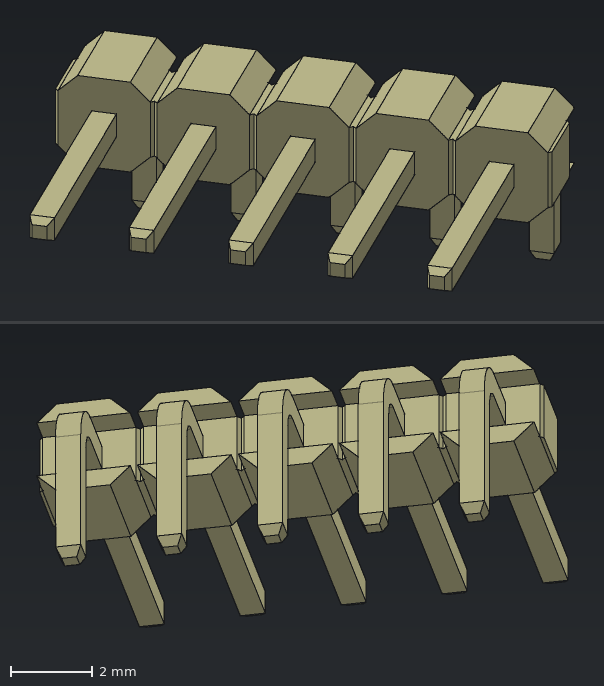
import cadquery as cq

PIN_COUNT = 5
PITCH = 2.54
PIN_XS = [(i - (PIN_COUNT - 1) / 2) * PITCH for i in range(PIN_COUNT)]

BODY_SIZE = 2.5
SEGMENT_WIDTH = 2.36
CORNER_RUN = 0.51
CORE_HEIGHT = 1.52
REAR_SLOT_DEPTH = 0.71
FRONT_Y = -BODY_SIZE / 2
REAR_Y = BODY_SIZE / 2
SLOT_FLOOR_Y = REAR_Y - REAR_SLOT_DEPTH
JOINT_BEVEL = (PITCH - SEGMENT_WIDTH) / 2

PIN_WIDTH = 0.64
TIP_WIDTH = 0.38
TIP_LENGTH = 0.27
MATING_LENGTH = 6.01
REAR_REACH = 1.84
LEG_DROP = 3.04
OUTER_BEND_RADIUS = 1.17
PIN_FRONT_Y = FRONT_Y - MATING_LENGTH
LEG_Y = REAR_Y + REAR_REACH - PIN_WIDTH / 2
LEG_BOTTOM_Z = -BODY_SIZE / 2 - LEG_DROP
BEND_RADIUS = OUTER_BEND_RADIUS - PIN_WIDTH / 2
BEND_START_Y = LEG_Y - BEND_RADIUS


def make_segment(x):
    """Octagonal block around one pin, with its long axis along Y."""
    half_width = SEGMENT_WIDTH / 2
    half_height = BODY_SIZE / 2
    half_top = half_width - CORNER_RUN
    half_side = CORE_HEIGHT / 2
    return (
        cq.Workplane("XZ", origin=(x, REAR_Y, 0))
        .moveTo(half_top, half_height)
        .lineTo(half_width, half_side)
        .lineTo(half_width, -half_side)
        .lineTo(half_top, -half_height)
        .lineTo(-half_top, -half_height)
        .lineTo(-half_width, -half_side)
        .lineTo(-half_width, half_side)
        .lineTo(-half_top, half_height)
        .close()
        .extrude(BODY_SIZE)
    )


def make_core(x):
    """Pitch-wide block with bevelled upright edges that joins a segment to its neighbours."""
    depth = SLOT_FLOOR_Y - FRONT_Y
    return (
        cq.Workplane("XY")
        .box(PITCH, depth, CORE_HEIGHT)
        .edges("|Z")
        .chamfer(JOINT_BEVEL)
        .translate((x, (SLOT_FLOOR_Y + FRONT_Y) / 2, 0))
    )


def make_rear_slot():
    """Cutter for the slot along the whole back of the housing."""
    return (
        cq.Workplane("XY")
        .box(PIN_COUNT * PITCH, REAR_SLOT_DEPTH, CORE_HEIGHT)
        .translate((0, REAR_Y - REAR_SLOT_DEPTH / 2, 0))
    )


def make_pin_hole(x):
    """Cutter for the square hole that holds one pin."""
    return cq.Workplane("XY").box(PIN_WIDTH, BODY_SIZE, PIN_WIDTH).translate((x, 0, 0))


def make_housing():
    housing = make_segment(PIN_XS[0]).cut(make_rear_slot()).union(make_core(PIN_XS[0]))
    for x in PIN_XS[1:]:
        housing = housing.union(make_segment(x).cut(make_rear_slot())).union(make_core(x))
    for x in PIN_XS:
        housing = housing.cut(make_pin_hole(x))
    return housing


def make_tip(base):
    """Square pyramid frustum that grows out of the given workplane."""
    return (
        base.rect(PIN_WIDTH, PIN_WIDTH)
        .workplane(offset=TIP_LENGTH)
        .rect(TIP_WIDTH, TIP_WIDTH)
        .loft(ruled=True)
    )


def make_pin(x):
    """Right-angle pin: straight mating end, bend behind the housing, leg pointing down."""
    shank_start_y = PIN_FRONT_Y + TIP_LENGTH
    leg_end_z = LEG_BOTTOM_Z + TIP_LENGTH
    shank_start = (x, shank_start_y, 0)
    leg_end = (x, LEG_Y, leg_end_z)
    path = (
        cq.Workplane("YZ", origin=(x, 0, 0))
        .moveTo(shank_start_y, 0)
        .lineTo(BEND_START_Y, 0)
        .radiusArc((LEG_Y, -BEND_RADIUS), BEND_RADIUS)
        .lineTo(LEG_Y, leg_end_z)
    )
    shank = cq.Workplane("XZ", origin=shank_start).rect(PIN_WIDTH, PIN_WIDTH).sweep(path)
    mating_tip = make_tip(cq.Workplane("XZ", origin=shank_start))
    leg_tip = make_tip(cq.Workplane("XY", origin=leg_end).transformed(rotate=(180, 0, 0)))
    return shank.union(mating_tip).union(leg_tip)


housing = make_housing()
pins = [make_pin(x) for x in PIN_XS]
result = cq.Compound.makeCompound([housing.solids().val(), *[pin.solids().val() for pin in pins]])